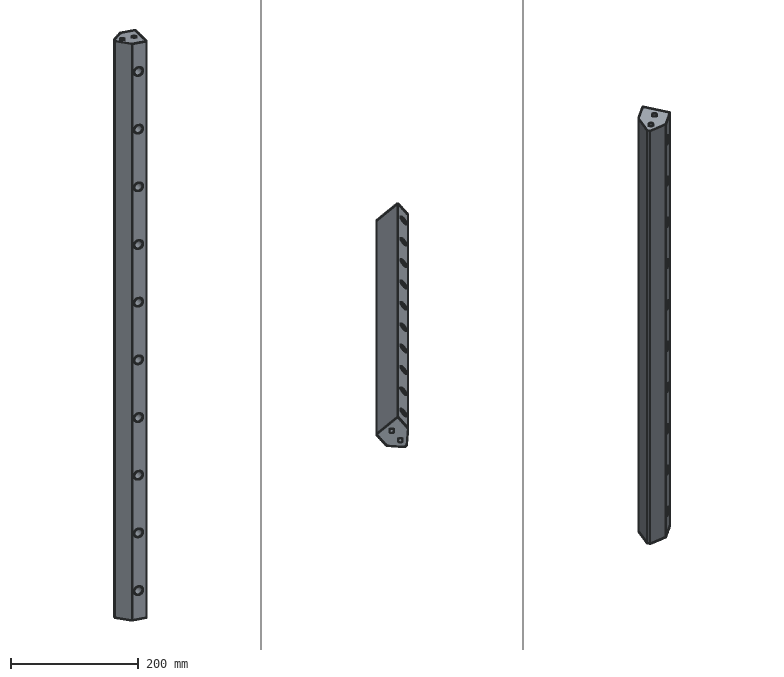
import cadquery as cq

width = 45.0
depth = 45.0
length = 1000.0

nose_width = 5.0
flank_run = (width - nose_width) / 2

mount_count = 10
mount_pitch = length / mount_count
mount_diameter = 14.0
mount_setback = 14.0

side_chamfer = 0.5

end_hole_diameter = 7.5
end_hole_depth = 20.0
end_hole_setbacks = (11.5, 32.0)

side_x = width / 2
back_y = depth / 2
nose_y = -depth / 2
shoulder_y = nose_y + flank_run


def rail_bar():
    """Five-sided bar with its nose pointing to -Y and its base at Z = 0."""
    outline = [
        (-side_x, back_y),
        (side_x, back_y),
        (side_x, shoulder_y),
        (nose_width / 2, nose_y),
        (-nose_width / 2, nose_y),
        (-side_x, shoulder_y),
    ]
    return cq.Workplane("XY").polyline(outline).close().extrude(length)


def mount_holes():
    """Cylinders along X, spaced one pitch apart and half a pitch from each end."""
    axis_y = back_y - mount_setback
    axes = [(axis_y, (index + 0.5) * mount_pitch) for index in range(mount_count)]
    section = cq.Workplane("YZ", origin=(-side_x, 0, 0)).pushPoints(axes)
    return section.circle(mount_diameter / 2).extrude(width)


def end_holes(start_z):
    """Pair of cylinders on the centre line, rising from start_z."""
    axes = [(0, back_y - setback) for setback in end_hole_setbacks]
    section = cq.Workplane("XY", origin=(0, 0, start_z)).pushPoints(axes)
    return section.circle(end_hole_diameter / 2).extrude(end_hole_depth)


rail = rail_bar().cut(mount_holes())
rail = rail.faces("<X or >X").edges().chamfer(side_chamfer)

for hole_start in (0, length - end_hole_depth):
    rail = rail.cut(end_holes(hole_start))

result = rail